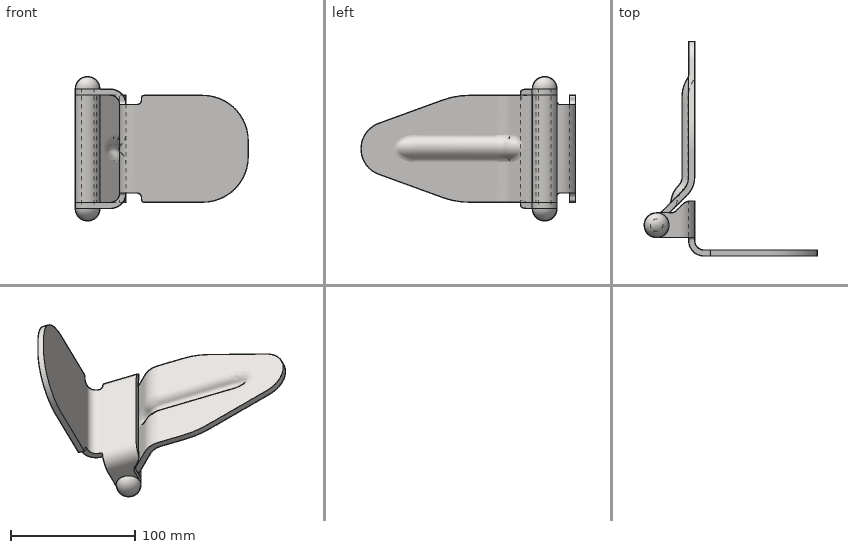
import cadquery as cq
import math


sheet = 5.0
knuckle_radius = 2 * sheet
pin_radius = sheet
leaf_width = 86.2
half_width = leaf_width / 2
ear_outside = half_width + sheet
plate_back = 30.8
plate_front = plate_back - sheet

bracket_bend = 7.5
bracket_outer_bend = bracket_bend + sheet
web_top = 19.5
ear_slope_start = 14.2
ear_inner_blend = 6.9
ear_outer_blend = 8.3
arm_bottom = -24.9
arm_end = 129.4
arm_corner = 36.8
arm_bend_y = arm_bottom + bracket_outer_bend
neck_half = half_width - bracket_bend
shoulder_x = 43.4
shoulder_inner_blend = 3.8
shoulder_outer_blend = 2.2
neck_root = -knuckle_radius - arm_bend_y

leaf_tip = 147.9
leaf_tip_radius = 22.0
leaf_taper = math.radians(20)
leaf_shoulder_radius = 62.2
leaf_bend_y = 38.7
leaf_outer_bend = 4 * sheet
leaf_inner_bend = leaf_outer_bend - sheet
knuckle_blend = sheet

bead_radius = 9.3
bead_height = 5.4
bead_root = 4.5
groove_radius = bead_radius - sheet
groove_root = bead_root + sheet
bead_straight_end = 103.1
bead_tip_runout = 27.6
bead_knuckle_runout = 21.2
bead_runout_angle = math.radians(60)

TOUCHING = 0.002
DIAGONAL = math.sqrt(0.5)


def polar(center, radius, angle):
    """Point at a radius and an angle (from +X) around a center."""
    return (center[0] + radius * math.cos(angle), center[1] + radius * math.sin(angle))


def blend_corners(body, radius, corners):
    """Rounds the edges whose midpoints are nearest to the given points."""
    for corner in corners:
        body = body.edges(cq.selectors.NearestToPointSelector(corner)).fillet(radius)
    return body


def ear_channel(y_low, y_high):
    """U-shaped stretch of web and ears between two Y levels."""
    outside = (
        cq.Workplane("XY")
        .box(plate_back + knuckle_radius, y_high - y_low, 2 * ear_outside, centered=False)
        .translate((-knuckle_radius, y_low, -ear_outside))
        .edges("|Y and >X").fillet(bracket_outer_bend)
    )
    inside = (
        cq.Workplane("XY")
        .box(plate_front + knuckle_radius, y_high - y_low, leaf_width, centered=False)
        .translate((-knuckle_radius, y_low, -half_width))
        .edges("|Y and >X").fillet(bracket_bend)
    )
    return outside.cut(inside)


def ears():
    """Web and both ears, with round ends and a sloping upper edge."""
    slope_end = ear_slope_start + web_top - knuckle_radius
    outline = (
        cq.Workplane("XY", origin=(0, 0, -ear_outside))
        .moveTo(0, -knuckle_radius)
        .lineTo(plate_back, -knuckle_radius)
        .lineTo(plate_back, web_top)
        .lineTo(slope_end, web_top)
        .lineTo(ear_slope_start, knuckle_radius)
        .lineTo(0, knuckle_radius)
        .threePointArc((-knuckle_radius, 0), (0, -knuckle_radius))
        .close()
        .extrude(2 * ear_outside)
    )
    outline = blend_corners(outline, ear_inner_blend, [(ear_slope_start, knuckle_radius, 0)])
    outline = blend_corners(outline, ear_outer_blend, [(slope_end, web_top, 0)])
    pin_hole = cq.Workplane("XY").circle(pin_radius).extrude(ear_outside, both=True)
    return ear_channel(-knuckle_radius, web_top).intersect(outline).cut(pin_hole)


def neck():
    """Short straight neck below the web, flaring into the ears through small round blends."""
    blend_middle = polar((arm_bend_y, neck_half + neck_root), neck_root, -math.pi / 4)
    flare = (
        cq.Workplane("YZ")
        .moveTo(arm_bend_y, 0)
        .lineTo(arm_bend_y, neck_half)
        .threePointArc(blend_middle, (-knuckle_radius, neck_half + neck_root))
        .lineTo(-knuckle_radius, 0)
        .close()
        .extrude(plate_back)
    )
    flare = flare.union(flare.mirror("XY"))
    return ear_channel(arm_bend_y, -knuckle_radius).intersect(flare)


def arm():
    """Right-angle bend and flat arm with notched shoulders and a rounded end."""
    bend_center = (plate_back + bracket_bend, arm_bend_y)
    bent_sheet = (
        cq.Workplane("XY", origin=(0, 0, -half_width))
        .moveTo(plate_front, arm_bend_y)
        .threePointArc(
            polar(bend_center, bracket_outer_bend, -0.75 * math.pi), (bend_center[0], arm_bottom)
        )
        .lineTo(arm_end, arm_bottom)
        .lineTo(arm_end, arm_bottom + sheet)
        .lineTo(bend_center[0], arm_bottom + sheet)
        .threePointArc(polar(bend_center, bracket_bend, -0.75 * math.pi), (plate_back, arm_bend_y))
        .close()
        .extrude(leaf_width)
    )
    depth = arm_bend_y - arm_bottom
    middle_y = (arm_bend_y + arm_bottom) / 2
    outline = cq.Workplane("XY").box(arm_end - shoulder_x, depth, leaf_width).translate(
        ((arm_end + shoulder_x) / 2, middle_y, 0)
    )
    outline = outline.union(
        cq.Workplane("XY").box(shoulder_x - plate_front, depth, 2 * neck_half).translate(
            ((shoulder_x + plate_front) / 2, middle_y, 0)
        )
    )
    for side in (-1, 1):
        outline = blend_corners(
            outline, shoulder_inner_blend, [(shoulder_x, middle_y, side * neck_half)]
        )
        outline = blend_corners(
            outline, shoulder_outer_blend, [(shoulder_x, middle_y, side * half_width)]
        )
        outline = blend_corners(outline, arm_corner, [(arm_end, middle_y, side * half_width)])
    return bent_sheet.intersect(outline)


def make_bracket():
    return ears().union(neck()).union(arm())


leaf_bend_center = (plate_back - leaf_outer_bend, leaf_bend_y)
inner_bend_end = polar(leaf_bend_center, leaf_inner_bend, -math.pi / 4)
outer_bend_end = polar(leaf_bend_center, leaf_outer_bend, -math.pi / 4)
slope_offset = (inner_bend_end[1] - inner_bend_end[0]) * DIAGONAL
slope_inner_foot = (-slope_offset * DIAGONAL, slope_offset * DIAGONAL)
slope_outer_foot = (slope_inner_foot[0] + sheet * DIAGONAL, slope_inner_foot[1] - sheet * DIAGONAL)


def leaf_outline():
    """Tapered outline of the leaf with a round tip, as a solid running along X."""
    tip_center = leaf_tip - leaf_tip_radius
    tangent_y, tangent_z = polar((tip_center, 0), leaf_tip_radius, math.pi / 2 - leaf_taper)
    shoulder_y = tangent_y - (half_width - tangent_z) / math.tan(leaf_taper)
    outline = (
        cq.Workplane("YZ", origin=(-knuckle_radius, 0, 0))
        .moveTo(-knuckle_radius, -half_width)
        .lineTo(shoulder_y, -half_width)
        .lineTo(tangent_y, -tangent_z)
        .threePointArc((leaf_tip, 0), (tangent_y, tangent_z))
        .lineTo(shoulder_y, half_width)
        .lineTo(-knuckle_radius, half_width)
        .close()
        .extrude(plate_back + knuckle_radius)
    )
    middle_x = (plate_back - knuckle_radius) / 2
    corners = [(middle_x, shoulder_y, side * half_width) for side in (-1, 1)]
    return blend_corners(outline, leaf_shoulder_radius, corners)


def leaf_sheet():
    """Bent leaf with its solid knuckle, before the bead and the bore."""
    profile = (
        cq.Workplane("XY", origin=(0, 0, -half_width))
        .moveTo(plate_back, leaf_tip)
        .lineTo(plate_back, leaf_bend_y)
        .threePointArc(polar(leaf_bend_center, leaf_outer_bend, -math.pi / 8), outer_bend_end)
        .lineTo(*slope_outer_foot)
        .lineTo(*slope_inner_foot)
        .lineTo(*inner_bend_end)
        .threePointArc(
            polar(leaf_bend_center, leaf_inner_bend, -math.pi / 8), (plate_front, leaf_bend_y)
        )
        .lineTo(plate_front, leaf_tip)
        .close()
        .extrude(leaf_width)
    )
    knuckle = (
        cq.Workplane("XY", origin=(0, 0, -half_width)).circle(knuckle_radius).extrude(leaf_width)
    )
    body = profile.intersect(leaf_outline()).union(knuckle)
    junction_angle = math.pi / 4 + math.asin(slope_offset / knuckle_radius)
    junction = polar((0, 0), knuckle_radius, junction_angle)
    return blend_corners(body, knuckle_blend, [(*junction, 0)])


def bead_bar(bar_radius):
    """Round bar along the center line of the bead, which dives through the leaf at both ends."""
    center_x = plate_front - bead_height + bead_radius
    bend_radius = plate_front - leaf_bend_center[0] - bead_height + bead_radius
    tip_radius = bead_tip_runout - bead_radius
    tip_center = (center_x + tip_radius, bead_straight_end)
    start = polar(tip_center, tip_radius, math.pi - bead_runout_angle)
    bend_end = polar(leaf_bend_center, bend_radius, -math.pi / 4)
    knuckle_end_radius = bead_knuckle_runout - bead_radius
    runout_center = polar(bend_end, knuckle_end_radius, -math.pi / 4)
    runout_start = 0.75 * math.pi
    path = (
        cq.Workplane("XY")
        .moveTo(*start)
        .threePointArc(
            polar(tip_center, tip_radius, math.pi - bead_runout_angle / 2),
            (center_x, bead_straight_end),
        )
        .lineTo(center_x, leaf_bend_y)
        .threePointArc(polar(leaf_bend_center, bend_radius, -math.pi / 8), bend_end)
        .threePointArc(
            polar(runout_center, knuckle_end_radius, runout_start + bead_runout_angle / 2),
            polar(runout_center, knuckle_end_radius, runout_start + bead_runout_angle),
        )
    )
    start_direction = (-math.sin(bead_runout_angle), -math.cos(bead_runout_angle), 0)
    section = cq.Workplane(
        cq.Plane(origin=(*start, 0), xDir=(0, 0, 1), normal=start_direction)
    ).circle(bar_radius)
    return section.sweep(path)


def space_behind_leaf():
    """Block filling the space on the back of the leaf."""
    far_x = plate_back + leaf_tip
    return (
        cq.Workplane("XY", origin=(0, 0, -half_width))
        .moveTo(plate_back, leaf_tip)
        .lineTo(plate_back, leaf_bend_y)
        .threePointArc(polar(leaf_bend_center, leaf_outer_bend, -math.pi / 8), outer_bend_end)
        .lineTo(*slope_outer_foot)
        .lineTo(far_x, slope_outer_foot[1])
        .lineTo(far_x, leaf_tip)
        .close()
        .extrude(leaf_width)
    )


def fillet_shared_edges(body, radius, first, second):
    """Rounds the edges of a body that lie on both of two other bodies."""
    shared = []
    for edge in body.edges().vals():
        middle = cq.Vertex.makeVertex(*edge.positionAt(0.5).toTuple())
        if max(first.val().distance(middle), second.val().distance(middle)) < TOUCHING:
            shared.append(edge)
    return body.newObject(shared).fillet(radius)


def make_leaf():
    """Leaf with a raised bead on its front, a matching groove in its back and a bored knuckle."""
    plain_leaf = leaf_sheet()
    behind = space_behind_leaf()
    bead = bead_bar(bead_radius).cut(behind).cut(plain_leaf)
    leaf = fillet_shared_edges(plain_leaf.union(bead), bead_root, plain_leaf, bead)
    groove = bead_bar(groove_radius)
    leaf = fillet_shared_edges(leaf.cut(groove), groove_root, behind, groove)
    bore = cq.Workplane("XY").circle(pin_radius).extrude(half_width, both=True)
    return leaf.cut(bore)


def make_pin():
    """Shaft through ears and knuckle, with a half-ball head on each ear."""
    pin_end = ear_outside + knuckle_radius
    return (
        cq.Workplane("XZ")
        .moveTo(0, -pin_end)
        .threePointArc(
            (knuckle_radius * DIAGONAL, -ear_outside - knuckle_radius * DIAGONAL),
            (knuckle_radius, -ear_outside),
        )
        .lineTo(pin_radius, -ear_outside)
        .lineTo(pin_radius, ear_outside)
        .lineTo(knuckle_radius, ear_outside)
        .threePointArc(
            (knuckle_radius * DIAGONAL, ear_outside + knuckle_radius * DIAGONAL), (0, pin_end)
        )
        .close()
        .revolve(360, (0, 0, 0), (0, 1, 0))
    )


bracket = make_bracket()
leaf = make_leaf()
pin = make_pin()
result = cq.Compound.makeCompound([bracket.solids().val(), leaf.solids().val(), pin.solids().val()])